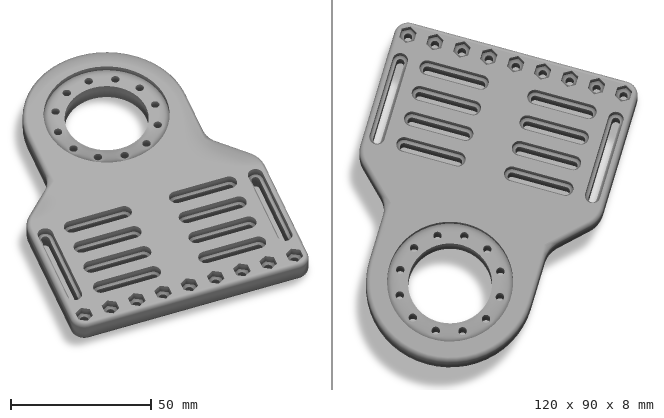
import cadquery as cq
import math

length = 120.0
width = 90.0
thickness = 8.0
edge_round = 1.5

head_radius = 30.0
neck_end = 22.0
neck_radius = 10.0
shoulder_radius = neck_radius
tail_corner_radius = 5.0
half_width = width / 2
shoulder_end = neck_end + half_width - head_radius
tail_end = length - head_radius

screw_diameter = 3.0
bore_diameter = 30.0
seat_diameter = 45.0
seat_depth = 2.0
ring_hole_count = 12
ring_hole_radius = 18.5

pitch = length / 12
nut_x = tail_end - pitch / 2
nut_count = 9
nut_flats = 5.5
nut_depth = 3.0

slot_columns = 4
slot_width = screw_diameter
slot_recess_width = nut_flats
slot_recess_depth = nut_depth
first_slot_x = nut_x - slot_columns * pitch
cross_slot_span = 2 * pitch
cross_slot_y = 2 * pitch
edge_slot_span = (slot_columns - 1) * pitch
edge_slot_y = (nut_count - 1) / 2 * pitch


def upright_edges(body, x):
    """Vertical edges of the body at the given X."""
    margin = 1.2
    near_x = cq.selectors.BoxSelector(
        (x - margin, -width, -margin),
        (x + margin, width, thickness + margin),
    )
    return body.edges("|Z").edges(near_x)


def plate():
    """Plate with rounded rims; the inner neck corners are blended after the rims."""
    body = (
        cq.Workplane("XY")
        .moveTo(0, head_radius)
        .threePointArc((-head_radius, 0), (0, -head_radius))
        .lineTo(neck_end, -head_radius)
        .lineTo(shoulder_end, -half_width)
        .lineTo(tail_end, -half_width)
        .lineTo(tail_end, half_width)
        .lineTo(shoulder_end, half_width)
        .lineTo(neck_end, head_radius)
        .close()
        .extrude(thickness)
    )
    body = upright_edges(body, shoulder_end).fillet(shoulder_radius)
    body = upright_edges(body, tail_end).fillet(tail_corner_radius)
    body = body.faces("<Z or >Z").edges().fillet(edge_round)
    return upright_edges(body, neck_end).fillet(neck_radius)


def on_top(points):
    """Workplane on the top face with the given points selected."""
    return cq.Workplane("XY").workplane(offset=thickness).pushPoints(points)


def bearing_seat():
    """Stepped bore and the ring of screw holes through the step."""
    bore = on_top([(0, 0)]).circle(bore_diameter / 2).extrude(-thickness)
    seat = on_top([(0, 0)]).circle(seat_diameter / 2).extrude(-seat_depth)
    holes = (
        cq.Workplane("XY")
        .polarArray(ring_hole_radius, 0, 360, ring_hole_count)
        .circle(screw_diameter / 2)
        .extrude(thickness)
    )
    return bore.union(seat).union(holes)


def nut_pockets():
    """Screw holes, each with a hexagonal pocket whose corners point along X."""
    middle = (nut_count - 1) / 2
    points = [(nut_x, (i - middle) * pitch) for i in range(nut_count)]
    across_corners = nut_flats / math.cos(math.pi / 6)
    holes = on_top(points).circle(screw_diameter / 2).extrude(-thickness)
    pockets = on_top(points).polygon(6, across_corners).extrude(-nut_depth)
    return holes.union(pockets)


def recessed_slots(points, span, angle):
    """Through slots, each with a wider recess from the top; span is between end centres."""
    through = on_top(points).slot2D(span + slot_width, slot_width, angle)
    recess = on_top(points).slot2D(span + slot_recess_width, slot_recess_width, angle)
    return through.extrude(-thickness).union(recess.extrude(-slot_recess_depth))


slot_xs = [first_slot_x + i * pitch for i in range(slot_columns)]
cross_slot_points = [(x, side * cross_slot_y) for x in slot_xs for side in (-1, 1)]
edge_slot_x = first_slot_x + edge_slot_span / 2
edge_slot_points = [(edge_slot_x, side * edge_slot_y) for side in (-1, 1)]

result = (
    plate()
    .cut(bearing_seat())
    .cut(nut_pockets())
    .cut(recessed_slots(cross_slot_points, cross_slot_span, 90))
    .cut(recessed_slots(edge_slot_points, edge_slot_span, 0))
)